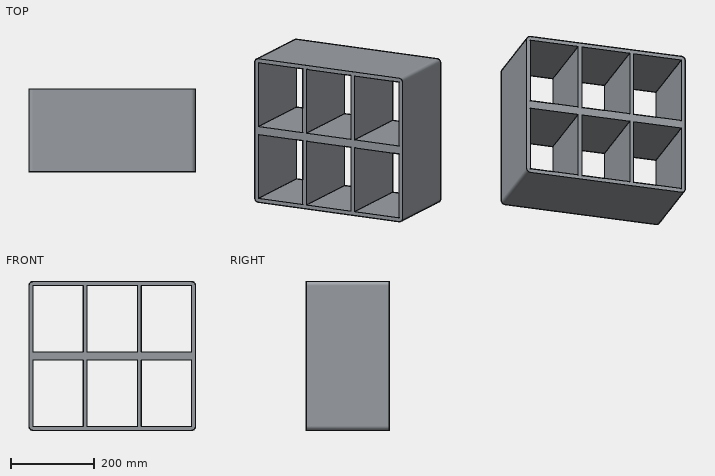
import cadquery as cq

width = 401.5
depth = 200.0
height = 359.0

columns = 3
rows = 2
outer_wall = 10.0
divider = 10.0
shelf = 20.0
corner_radius = 10.0

opening_width = (width - 2 * outer_wall - (columns - 1) * divider) / columns
opening_height = (height - 2 * outer_wall - (rows - 1) * shelf) / rows

body = cq.Workplane("XY").box(width, depth, height)
body = body.edges("|Y").fillet(corner_radius)

compartments = (
    cq.Workplane("XZ")
    .rarray(opening_width + divider, opening_height + shelf, columns, rows)
    .rect(opening_width, opening_height)
    .extrude(depth, both=True)
)

result = body.cut(compartments)